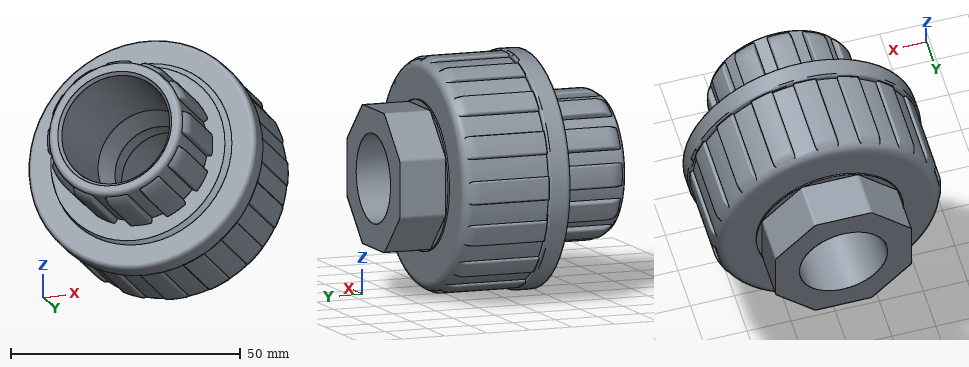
import cadquery as cq
import math


socket_face_y = -26.6
thread_face_y = -9.9
nut_front_y = -9.3
nut_band_back_y = -4.3
joint_y = 5.3
shoulder_y = 10.65
nut_back_y = 15.45
collar_back_y = 15.8
octagon_back_y = 26.6

bore_radius = 20.0 / 2
mouth_radius = 26.45 / 2
mouth_chamfer = 0.7
socket_bottom_radius = 24.0 / 2
socket_depth = 22.35
bore_cone_length = 5.3

rib_width = 5.15
rib_end_radius = 4.0
rib_edge_radius = 0.5
rib_root_depth = 1.05

socket_radius = 15.5
socket_rib_radius = 16.7
socket_rib_count = 12
socket_edge_radius = 0.95
socket_rib_round_y = -22.9
thread_radius = 41.9 / 2
thread_end_offset = -0.7
thread_end_half_width = 20.25
thread_end_half_height = 20.1

nut_radius = 25.45
nut_rib_radius = 26.15
nut_rib_count = 16
nut_edge_radius = 2.1
nut_rib_round_y = 11.7
nut_band_radius = 53.0 / 2
band_front_radius = 0.9
band_back_radius = 0.55

octagon_sides = 8
octagon_width = 30.9
octagon_corner_radius = 1.0
collar_radius = 16.7


def cylinder(radius, start_y, end_y):
    """Cylinder on the Y axis between two stations."""
    return cq.Workplane("XZ", origin=(0, start_y, 0)).circle(radius).extrude(start_y - end_y)


def add_ribs(body, count, top_radius, body_radius, start_y, round_y):
    """Join equally spaced ribs that run from start_y and round down into the body beyond round_y."""
    direction = math.copysign(1, round_y - start_y)
    root_radius = body_radius - rib_root_depth
    round_center_radius = top_radius - rib_end_radius
    end_angle = math.acos((root_radius - round_center_radius) / rib_end_radius)

    def round_point(angle):
        return (
            round_center_radius + rib_end_radius * math.cos(angle),
            round_y + direction * rib_end_radius * math.sin(angle),
        )

    ring = (
        cq.Workplane("XY")
        .moveTo(root_radius, start_y)
        .lineTo(top_radius, start_y)
        .lineTo(top_radius, round_y)
        .threePointArc(round_point(end_angle / 2), round_point(end_angle))
        .close()
        .revolve(360, (0, 0, 0), (0, 1, 0))
    )
    slab_length = 2 * (abs(round_y - start_y) + rib_end_radius)
    slab = (
        cq.Workplane("XY", origin=(0, start_y, 0))
        .rect(rib_width, slab_length)
        .extrude(top_radius)
    )
    rib = ring.intersect(slab).edges("|Y").edges(">Z").fillet(rib_edge_radius)
    turned_ribs = [
        rib.val().rotate(cq.Vector(0, 0, 0), cq.Vector(0, 1, 0), index * 360 / count)
        for index in range(count)
    ]
    return body.union(cq.Workplane("XY").newObject(turned_ribs))


def make_threaded_disc():
    """Disc that fills the nut bore; the run-out of its thread leaves an off-centre sloping rim."""
    disc = cylinder(thread_radius, nut_front_y, joint_y)
    rim = (
        cq.Workplane("XZ", origin=(0, nut_front_y, 0))
        .ellipse(thread_radius, thread_radius)
        .workplane(offset=nut_front_y - thread_face_y)
        .center(thread_end_offset, 0)
        .ellipse(thread_end_half_width, thread_end_half_height)
        .loft(ruled=True)
    )
    return disc.union(rim)


def make_socket_bore():
    """Chamfered mouth, tapered socket, cone and through bore of the socket end."""
    socket_top_radius = mouth_radius - mouth_chamfer
    socket_bottom_y = socket_face_y + socket_depth
    return (
        cq.Workplane("XY")
        .moveTo(0, socket_face_y)
        .lineTo(mouth_radius, socket_face_y)
        .lineTo(socket_top_radius, socket_face_y + mouth_chamfer)
        .lineTo(socket_bottom_radius, socket_bottom_y)
        .lineTo(bore_radius, socket_bottom_y + bore_cone_length)
        .lineTo(bore_radius, joint_y)
        .lineTo(0, joint_y)
        .close()
        .revolve(360, (0, 0, 0), (0, 1, 0))
    )


def make_socket_end():
    barrel = cylinder(socket_radius, socket_face_y, joint_y).faces("<Y").edges().fillet(socket_edge_radius)
    barrel = add_ribs(
        barrel, socket_rib_count, socket_rib_radius, socket_radius, nut_front_y, socket_rib_round_y
    )
    return barrel.union(make_threaded_disc()).cut(make_socket_bore())


def make_octagonal_end():
    flange = cylinder(thread_radius, joint_y, shoulder_y)
    collar = cylinder(collar_radius, shoulder_y, collar_back_y)
    octagon = (
        cq.Workplane("XZ", origin=(0, collar_back_y, 0))
        .polygon(octagon_sides, octagon_width, circumscribed=True)
        .extrude(collar_back_y - octagon_back_y)
        .edges("|Y")
        .fillet(octagon_corner_radius)
    )
    return flange.union(collar).union(octagon).cut(cylinder(bore_radius, joint_y, octagon_back_y))


def make_nut():
    shell = cylinder(nut_radius, nut_front_y, nut_back_y).faces(">Y").edges().fillet(nut_edge_radius)
    shell = add_ribs(shell, nut_rib_count, nut_rib_radius, nut_radius, nut_band_back_y, nut_rib_round_y)
    band = (
        cylinder(nut_band_radius, nut_front_y, nut_band_back_y)
        .faces("<Y")
        .edges()
        .fillet(band_front_radius)
        .faces(">Y")
        .edges()
        .fillet(band_back_radius)
    )
    thread_bore = cylinder(thread_radius, nut_front_y, shoulder_y)
    collar_hole = cylinder(collar_radius, shoulder_y, nut_back_y)
    return shell.union(band).cut(thread_bore).cut(collar_hole)


socket_end = make_socket_end().solids()
octagonal_end = make_octagonal_end().solids()
nut = make_nut().solids()

result = cq.Compound.makeCompound([socket_end.val(), octagonal_end.val(), nut.val()])